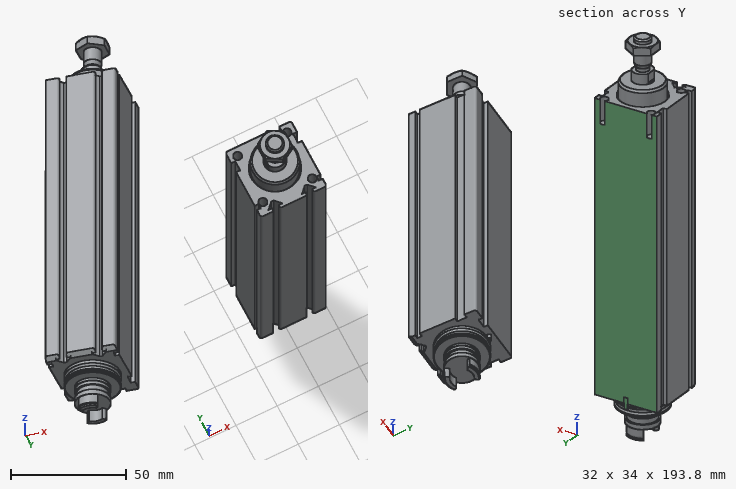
import cadquery as cq
import math


BARREL_WIDTH = 32.0
BARREL_LENGTH = 145.0
LIP_HEIGHT = 2.0
BACK_Y = BARREL_WIDTH / 2
FRONT_Y = -BARREL_WIDTH / 2 - LIP_HEIGHT
BARREL_CORNER_RADIUS = 1.2
REAR_CHAMFER = 2.0

GROOVE_DEPTH = 2.0
WIDE_GROOVE_FROM = 5.6
WIDE_GROOVE_TO = 10.3
NARROW_GROOVE_FROM = -14.1
NARROW_GROOVE_TO = -12.0

SLOT_OFFSET = 8.1
SLOT_OPENING = 3.1
SLOT_CAVITY_WIDTH = 6.8
SLOT_ROOF_WIDTH = 1.2
SLOT_LIP_THICKNESS = 1.5
SLOT_CAVITY_HEIGHT = 3.0
SLOT_EDGE_RADIUS = 1.0

SCREW_HOLE_DIAMETER = 3.9
SCREW_HOLE_DEPTH = 11.6
SCREW_HOLE_OFFSET = 12.0
DRILL_POINT_ANGLE = 118

CAP_DIAMETER = 21.3
CAP_PROJECTION = 7.5
CAP_CHAMFER_WIDTH = 0.8
CAP_CHAMFER_HEIGHT = 1.2
CAP_INSERTION = 9.7
CAP_RECESS_DIAMETER = 22.7
CAP_RECESS_DEPTH = 2.0
CAP_FACE_Z = BARREL_LENGTH + CAP_PROJECTION
CAP_BASE_Z = BARREL_LENGTH - CAP_INSERTION

ROD_DIAMETER = 10.0
ROD_ACROSS_FLATS = 8.7
ROD_PROJECTION = 5.0
FLAT_CLEARANCE = 0.5
NECK_DIAMETER = 6.0
NECK_LENGTH = 1.7
STUD_DIAMETER = 8.0
STUD_TAPER_LENGTH = 2.0
STUD_TAPER_DIAMETER = 6.4
STUD_CHAMFER = 0.8
STUD_END_PROJECTION = 28.7
STUD_TOP_Z = BARREL_LENGTH + STUD_END_PROJECTION
ROD_SHOULDER_Z = CAP_FACE_Z + ROD_PROJECTION
STUD_BASE_Z = ROD_SHOULDER_Z + NECK_LENGTH

NUT_ACROSS_FLATS = 13.0
NUT_HEIGHT = 4.0
NUT_CHAMFER_ANGLE = 30
NUT_SETBACK = 6.2
NUT_BASE_Z = STUD_TOP_Z - NUT_SETBACK
NUT_SIDES = 6
NUT_HALF_ANGLE = 180 / NUT_SIDES
NUT_ACROSS_CORNERS = NUT_ACROSS_FLATS / math.cos(math.radians(NUT_HALF_ANGLE))

REAR_CAP_DIAMETER = 24.8
REAR_CAP_LENGTH = 6.2
RING_GROOVE_DIAMETER = 23.6
RING_GROOVE_FROM = 1.5
RING_GROOVE_TO = 5.2
RING_GROOVE_TAPER = 1.2
REAR_CAP_CHAMFER = 0.4

CONNECTOR_DIAMETER = 15.7
CONNECTOR_LENGTH = 8.3
CONNECTOR_COLLAR_LENGTH = 1.4
CONNECTOR_NECK_DIAMETER = 15.3
CONNECTOR_GROOVE_DIAMETER = 14.0
CONNECTOR_GROOVE_FROM = 3.1
CONNECTOR_GROOVE_TO = 6.0
PRONG_LENGTH = 5.6
PRONG_WIDTH = 8.7
PRONG_OUTER_DIAMETER = 15.3
PRONG_BORE_DIAMETER = 10.7
PRONG_SIDE_BULGE = 0.4
PRONG_RIM_LENGTH = 1.2
PRONG_TAPER_LENGTH = 1.0
PRONG_WAIST_DIAMETER = 15.0
PRONG_CHAMFER = 0.5

PIN_DIAMETER = 2.0
PIN_Y = 13.5
PIN_PROJECTION = 3.0
PIN_INSERTION = 3.0
PIN_CHAMFER = 0.4


def cylinder(diameter, bottom_z, top_z):
    return cq.Workplane("XY").workplane(offset=bottom_z).circle(diameter / 2).extrude(top_z - bottom_z)


def box_between(x_from, x_to, y_from, y_to):
    """Bar over the full barrel length with the given X and Y limits."""
    return cq.Workplane("XY").box(
        x_to - x_from, y_to - y_from, BARREL_LENGTH, centered=False
    ).translate((x_from, y_from, 0))


def revolved(half_profile):
    """Solid of revolution about Z from (radius, z) points."""
    return cq.Workplane("XZ").polyline(half_profile).close().revolve(360, (0, 0, 0), (0, 1, 0))


def sensor_slot(center_x):
    """Slot with a narrow opening that widens to a roof-shaped cavity."""
    lip_y = FRONT_Y + SLOT_LIP_THICKNESS
    roof_y = lip_y + SLOT_CAVITY_HEIGHT
    half_profile = [
        (SLOT_OPENING / 2, FRONT_Y),
        (SLOT_OPENING / 2, lip_y),
        (SLOT_CAVITY_WIDTH / 2, lip_y),
        (SLOT_ROOF_WIDTH / 2, roof_y),
    ]
    mirrored = [(-x, y) for x, y in reversed(half_profile)]
    outline = cq.Workplane("XY").polyline(half_profile + mirrored).close()
    return outline.extrude(BARREL_LENGTH).translate((center_x, 0, 0))


def screw_hole(x, y):
    """Blind hole with a drilled point, opening at the barrel's front face."""
    radius = SCREW_HOLE_DIAMETER / 2
    floor_z = BARREL_LENGTH - SCREW_HOLE_DEPTH
    point_z = floor_z - radius / math.tan(math.radians(DRILL_POINT_ANGLE / 2))
    hole = revolved([(0, point_z), (radius, floor_z), (radius, BARREL_LENGTH), (0, BARREL_LENGTH)])
    return hole.translate((x, y, 0))


def make_barrel():
    half_width = BARREL_WIDTH / 2
    body = box_between(-half_width, half_width, FRONT_Y, BACK_Y)
    body = body.edges("|Z").fillet(BARREL_CORNER_RADIUS)

    for side in (-1, 1):
        body = body.cut(sensor_slot(side * SLOT_OFFSET))
    body = body.faces("<Y").edges("|Z").edges(
        cq.selectors.BoxSelector(
            (-SLOT_OFFSET - SLOT_OPENING, FRONT_Y - LIP_HEIGHT, 0),
            (SLOT_OFFSET + SLOT_OPENING, FRONT_Y + LIP_HEIGHT / 2, BARREL_LENGTH),
        )
    ).fillet(SLOT_EDGE_RADIUS)

    groove_floor = half_width - GROOVE_DEPTH
    for y_from, y_to in ((WIDE_GROOVE_FROM, WIDE_GROOVE_TO), (NARROW_GROOVE_FROM, NARROW_GROOVE_TO)):
        body = body.cut(box_between(groove_floor, half_width, y_from, y_to))
        body = body.cut(box_between(-half_width, -groove_floor, y_from, y_to))
    body = body.cut(box_between(WIDE_GROOVE_FROM, WIDE_GROOVE_TO, BACK_Y - GROOVE_DEPTH, BACK_Y))

    rear_wedge = (
        cq.Workplane("YZ")
        .polyline([(FRONT_Y, 0), (FRONT_Y + REAR_CHAMFER, 0), (FRONT_Y, REAR_CHAMFER)])
        .close()
        .extrude(half_width, both=True)
    )
    body = body.cut(rear_wedge)

    for x_side in (-1, 1):
        for y_side in (-1, 1):
            body = body.cut(screw_hole(x_side * SCREW_HOLE_OFFSET, y_side * SCREW_HOLE_OFFSET))

    body = body.cut(cylinder(CAP_DIAMETER, CAP_BASE_Z, BARREL_LENGTH))
    body = body.cut(cylinder(CAP_RECESS_DIAMETER, BARREL_LENGTH - CAP_RECESS_DEPTH, BARREL_LENGTH))
    return body.cut(cylinder(PIN_DIAMETER, 0, PIN_INSERTION).translate((0, PIN_Y, 0)))


def make_bearing_cap():
    radius = CAP_DIAMETER / 2
    cap = revolved([
        (0, CAP_BASE_Z),
        (radius, CAP_BASE_Z),
        (radius, CAP_FACE_Z - CAP_CHAMFER_HEIGHT),
        (radius - CAP_CHAMFER_WIDTH, CAP_FACE_Z),
        (0, CAP_FACE_Z),
    ])
    return cap.cut(cylinder(ROD_DIAMETER, CAP_BASE_Z, CAP_FACE_Z))


def make_piston_rod():
    flats_length = ROD_PROJECTION - FLAT_CLEARANCE
    round_end_z = ROD_SHOULDER_Z - flats_length
    shank = cylinder(ROD_DIAMETER, CAP_BASE_Z, round_end_z)
    flatted_end = cylinder(ROD_DIAMETER, round_end_z, ROD_SHOULDER_Z).intersect(
        cq.Workplane("XY")
        .box(ROD_ACROSS_FLATS, ROD_DIAMETER, flats_length, centered=(True, True, False))
        .translate((0, 0, round_end_z))
    )
    stud_radius = STUD_DIAMETER / 2
    stud = revolved([
        (0, ROD_SHOULDER_Z),
        (NECK_DIAMETER / 2, ROD_SHOULDER_Z),
        (NECK_DIAMETER / 2, STUD_BASE_Z),
        (STUD_TAPER_DIAMETER / 2, STUD_BASE_Z),
        (stud_radius, STUD_BASE_Z + STUD_TAPER_LENGTH),
        (stud_radius, STUD_TOP_Z - STUD_CHAMFER),
        (stud_radius - STUD_CHAMFER, STUD_TOP_Z),
        (0, STUD_TOP_Z),
    ])
    return shank.union(flatted_end).union(stud)


def make_nut():
    """Hex nut with corners on Y and a conical chamfer on its upper face."""
    top_z = NUT_BASE_Z + NUT_HEIGHT
    hexagon = (
        cq.Workplane("XY")
        .workplane(offset=NUT_BASE_Z)
        .polygon(NUT_SIDES, NUT_ACROSS_CORNERS)
        .extrude(NUT_HEIGHT)
        .rotate((0, 0, 0), (0, 0, 1), NUT_HALF_ANGLE)
    )
    flat_radius = NUT_ACROSS_FLATS / 2
    corner_radius = NUT_ACROSS_CORNERS / 2
    chamfer_height = (corner_radius - flat_radius) * math.tan(math.radians(NUT_CHAMFER_ANGLE))
    chamfered_blank = revolved([
        (0, NUT_BASE_Z),
        (corner_radius, NUT_BASE_Z),
        (corner_radius, top_z - chamfer_height),
        (flat_radius, top_z),
        (0, top_z),
    ])
    return hexagon.intersect(chamfered_blank).cut(cylinder(STUD_DIAMETER, NUT_BASE_Z, top_z))


def make_rear_cap():
    rim_radius = REAR_CAP_DIAMETER / 2
    groove_radius = RING_GROOVE_DIAMETER / 2
    return revolved([
        (0, 0),
        (rim_radius, 0),
        (rim_radius, -RING_GROOVE_FROM),
        (groove_radius, -RING_GROOVE_FROM - RING_GROOVE_TAPER),
        (groove_radius, -RING_GROOVE_TO + RING_GROOVE_TAPER),
        (rim_radius, -RING_GROOVE_TO),
        (rim_radius, -REAR_CAP_LENGTH + REAR_CAP_CHAMFER),
        (rim_radius - REAR_CAP_CHAMFER, -REAR_CAP_LENGTH),
        (0, -REAR_CAP_LENGTH),
    ])


def make_prong_blank(shoulder_z, end_z):
    """Sleeve with the turned outside of the prongs: shank, waist and chamfered rim."""
    bore_radius = PRONG_BORE_DIAMETER / 2
    shank_radius = PRONG_OUTER_DIAMETER / 2
    rim_radius = CONNECTOR_DIAMETER / 2
    waist_z = end_z + PRONG_RIM_LENGTH
    return revolved([
        (bore_radius, shoulder_z),
        (shank_radius, shoulder_z),
        (shank_radius, waist_z + PRONG_TAPER_LENGTH),
        (PRONG_WAIST_DIAMETER / 2, waist_z),
        (rim_radius, waist_z),
        (rim_radius, end_z + PRONG_CHAMFER),
        (rim_radius - PRONG_CHAMFER, end_z),
        (bore_radius, end_z),
    ])


def prong_sector(side, shoulder_z, end_z):
    """Ring sector on the +Y or -Y side, with convex sides along radial lines."""
    bore_radius = PRONG_BORE_DIAMETER / 2
    outer_radius = CONNECTOR_DIAMETER / 2
    middle_radius = (bore_radius + outer_radius) / 2
    half_angle = math.asin(PRONG_WIDTH / CONNECTOR_DIAMETER)
    side_x = math.sin(half_angle)
    side_y = math.cos(half_angle)
    bulge_x = middle_radius * side_x + PRONG_SIDE_BULGE * side_y
    bulge_y = side * (middle_radius * side_y - PRONG_SIDE_BULGE * side_x)
    inner_x = bore_radius * side_x
    inner_y = side * bore_radius * side_y
    outer_x = outer_radius * side_x
    outer_y = side * outer_radius * side_y
    return (
        cq.Workplane("XY")
        .workplane(offset=end_z)
        .moveTo(-inner_x, inner_y)
        .threePointArc((-bulge_x, bulge_y), (-outer_x, outer_y))
        .threePointArc((0, side * outer_radius), (outer_x, outer_y))
        .threePointArc((bulge_x, bulge_y), (inner_x, inner_y))
        .threePointArc((0, side * bore_radius), (-inner_x, inner_y))
        .close()
        .extrude(shoulder_z - end_z)
    )


def make_connector():
    """Grooved stub ending in two prongs on +Y and -Y."""
    top_z = -REAR_CAP_LENGTH
    shoulder_z = top_z - CONNECTOR_LENGTH
    end_z = shoulder_z - PRONG_LENGTH
    outer_radius = CONNECTOR_DIAMETER / 2
    neck_radius = CONNECTOR_NECK_DIAMETER / 2
    groove_radius = CONNECTOR_GROOVE_DIAMETER / 2
    connector = revolved([
        (0, top_z),
        (outer_radius, top_z),
        (outer_radius, top_z - CONNECTOR_COLLAR_LENGTH),
        (neck_radius, top_z - CONNECTOR_COLLAR_LENGTH),
        (neck_radius, top_z - CONNECTOR_GROOVE_FROM),
        (groove_radius, top_z - CONNECTOR_GROOVE_FROM),
        (groove_radius, top_z - CONNECTOR_GROOVE_TO),
        (outer_radius, top_z - CONNECTOR_GROOVE_TO),
        (outer_radius, shoulder_z),
        (0, shoulder_z),
    ])
    prong_blank = make_prong_blank(shoulder_z, end_z)
    for side in (-1, 1):
        connector = connector.union(prong_blank.intersect(prong_sector(side, shoulder_z, end_z)))
    return connector


def make_locating_pin():
    pin = cylinder(PIN_DIAMETER, -PIN_PROJECTION, PIN_INSERTION).faces("<Z").chamfer(PIN_CHAMFER)
    return pin.translate((0, PIN_Y, 0))


barrel = make_barrel()
bearing_cap = make_bearing_cap()
piston_rod = make_piston_rod()
nut = make_nut()
rear_cap = make_rear_cap()
connector = make_connector()
locating_pin = make_locating_pin()

result = cq.Compound.makeCompound([
    barrel.val(),
    bearing_cap.val(),
    piston_rod.val(),
    nut.val(),
    rear_cap.val(),
    connector.val(),
    locating_pin.val(),
])